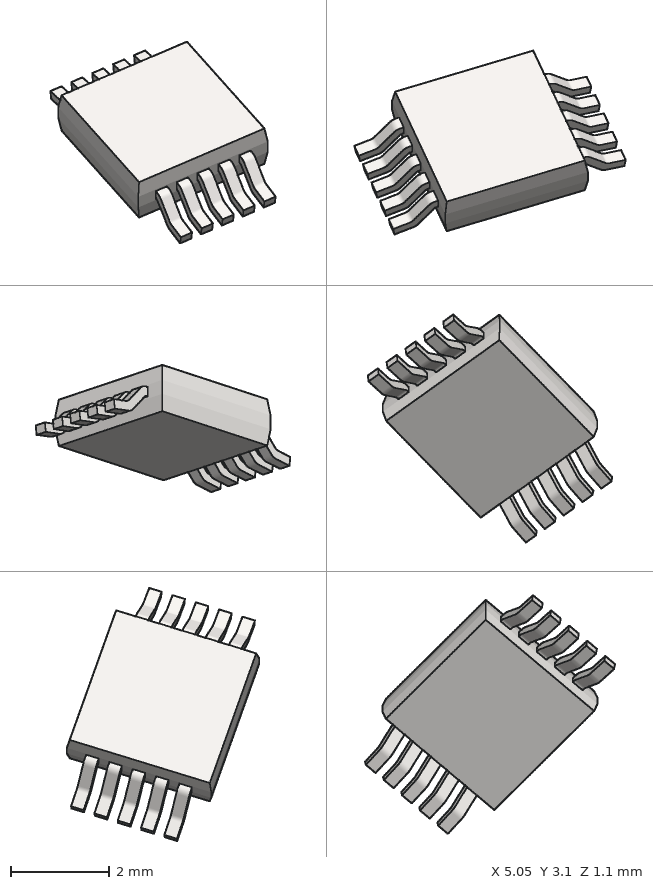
import math

import cadquery as cq

BODY_SIDE = 3.1
BODY_BOTTOM = 0.1
BODY_TOP = 1.1
WAIST_BOTTOM = 0.45
WAIST_TOP = 0.75
TAPER_INSET = 0.05

LEADS_PER_SIDE = 5
LEAD_PITCH = 0.5
LEAD_WIDTH = 0.27
LEAD_THICKNESS = 0.2
LEAD_SPAN = 5.05
LEAD_TOP = 0.7
LEAD_EMBED = 0.1
FOOT_LENGTH = 0.403
FOOT_ANGLE = 8.0
SHANK_ANGLE = 46.0
SHOULDER_OUTER_RADIUS = 0.2
SHOULDER_INNER_RADIUS = 0.08
ANKLE_OUTER_RADIUS = 0.2
ANKLE_INNER_RADIUS = 0.14


def make_body():
    """Waist band with a tapered half above and below it."""
    end_side = BODY_SIDE - 2 * TAPER_INSET
    waist = (
        cq.Workplane("XY")
        .workplane(offset=WAIST_BOTTOM)
        .rect(BODY_SIDE, BODY_SIDE)
        .extrude(WAIST_TOP - WAIST_BOTTOM)
    )
    upper = (
        cq.Workplane("XY")
        .workplane(offset=WAIST_TOP)
        .rect(BODY_SIDE, BODY_SIDE)
        .workplane(offset=BODY_TOP - WAIST_TOP)
        .rect(end_side, end_side)
        .loft(ruled=True)
    )
    lower = (
        cq.Workplane("XY")
        .workplane(offset=BODY_BOTTOM)
        .rect(end_side, end_side)
        .workplane(offset=WAIST_BOTTOM - BODY_BOTTOM)
        .rect(BODY_SIDE, BODY_SIDE)
        .loft(ruled=True)
    )
    return waist.union(upper).union(lower)


def opposite_corner(corner, angle_before, angle_after):
    """Corner of the lead's underside, mitred one thickness away from a top corner."""
    bisector = (angle_before + angle_after) / 2
    reach = LEAD_THICKNESS / math.cos((angle_after - angle_before) / 2)
    return (corner[0] + reach * math.sin(bisector), corner[1] - reach * math.cos(bisector))


def make_lead():
    """One lead on the -X side, centred on Y = 0, with its foot tip resting on Z = 0."""
    foot = math.radians(FOOT_ANGLE)
    shank = math.radians(SHANK_ANGLE)
    root_x = -BODY_SIDE / 2 + LEAD_EMBED

    tip_top = (-LEAD_SPAN / 2, LEAD_THICKNESS * math.cos(foot))
    ankle_top = (
        tip_top[0] + FOOT_LENGTH * math.cos(foot),
        tip_top[1] + FOOT_LENGTH * math.sin(foot),
    )
    shank_run = (LEAD_TOP - ankle_top[1]) / math.tan(shank)
    shoulder_top = (ankle_top[0] + shank_run, LEAD_TOP)
    root_top = (root_x, LEAD_TOP)
    root_bottom = (root_x, LEAD_TOP - LEAD_THICKNESS)
    shoulder_bottom = opposite_corner(shoulder_top, shank, 0)
    ankle_bottom = opposite_corner(ankle_top, foot, shank)
    tip_bottom = opposite_corner(tip_top, foot, foot)

    lead = (
        cq.Workplane("XZ")
        .polyline([
            tip_top, ankle_top, shoulder_top, root_top,
            root_bottom, shoulder_bottom, ankle_bottom, tip_bottom,
        ])
        .close()
        .extrude(LEAD_WIDTH / 2, both=True)
    )
    bends = [
        (ankle_top, ANKLE_INNER_RADIUS),
        (ankle_bottom, ANKLE_OUTER_RADIUS),
        (shoulder_top, SHOULDER_OUTER_RADIUS),
        (shoulder_bottom, SHOULDER_INNER_RADIUS),
    ]
    for (x, z), radius in bends:
        corner_edge = cq.selectors.NearestToPointSelector((x, 0, z))
        lead = lead.edges("|Y").edges(corner_edge).fillet(radius)
    return lead


result = make_body()
left_lead = make_lead()
right_lead = left_lead.mirror("YZ")
for index in range(LEADS_PER_SIDE):
    lead_y = (index - (LEADS_PER_SIDE - 1) / 2) * LEAD_PITCH
    for lead in (left_lead, right_lead):
        result = result.union(lead.translate((0, lead_y, 0)))